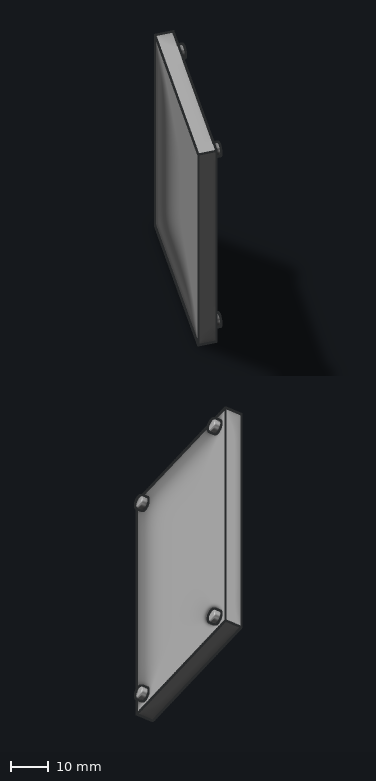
import cadquery as cq

plate_width = 44.0
plate_height = 75.25
total_depth = 7.0

pin_diameter = 4.0
pin_length = pin_diameter / 2
pin_edge_fillet = 0.45
pin_edge_distance = pin_diameter

plate_thickness = total_depth - pin_length
pin_spacing_x = plate_width - 2 * pin_edge_distance
pin_spacing_z = plate_height - 2 * pin_edge_distance


def make_plate():
    """Plate centred in X and Z, with its front face at Y = 0."""
    return cq.Workplane("XY").box(
        plate_width, plate_thickness, plate_height, centered=(True, False, True)
    )


def make_pins():
    """Four pins rising from the back face, rounded at their free ends."""
    back_plane = cq.Workplane("XZ", origin=(0, plate_thickness, 0))
    pins = (
        back_plane.rarray(pin_spacing_x, pin_spacing_z, 2, 2)
        .circle(pin_diameter / 2)
        .extrude(-pin_length)
    )
    return pins.faces(">Y").edges().fillet(pin_edge_fillet)


result = make_plate().union(make_pins())